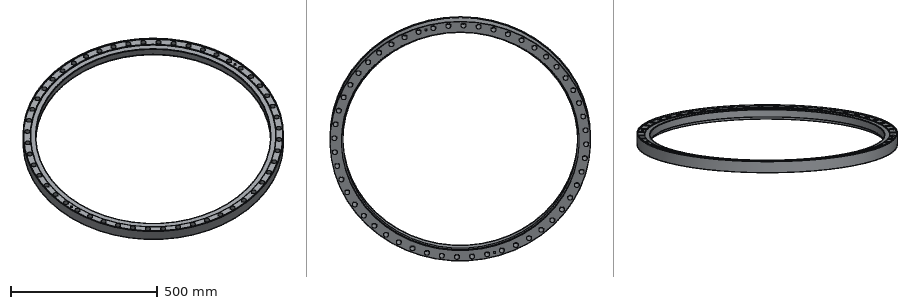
import cadquery as cq
import math

outer_radius = 445.0
inner_radius = 400.5
height = 43.0
outer_chamfer = 1.0

rim_inner_radius = 442.0
bolting_face_height = 38.0

step_radius = 420.0
step_width = 2.0
lip_height = 36.0
lip_chamfer = 2.0

relief_radius = 406.0
relief_height = 9.0

bolt_count = 52
bolt_circle_radius = 430.0
bolt_hole_diameter = 17.0
bolt_pitch = 360 / bolt_count
bolt_angles = [index * bolt_pitch for index in range(bolt_count)]

pin_hole_diameter = 7.0
pin_angles = [90 + bolt_pitch / 2, 270 + bolt_pitch / 2]


def make_ring():
    """Revolve the radius-height section of the ring about Z."""
    section = [
        (relief_radius, 0),
        (outer_radius - outer_chamfer, 0),
        (outer_radius, outer_chamfer),
        (outer_radius, height - outer_chamfer),
        (outer_radius - outer_chamfer, height),
        (rim_inner_radius, height),
        (rim_inner_radius, bolting_face_height),
        (step_radius, bolting_face_height),
        (step_radius - step_width, lip_height),
        (inner_radius + lip_chamfer, lip_height),
        (inner_radius, lip_height - lip_chamfer),
        (inner_radius, relief_height),
        (relief_radius, relief_height),
    ]
    return cq.Workplane("XZ").polyline(section).close().revolve(360, (0, 0, 0), (0, 1, 0))


def point_on_bolt_circle(angle):
    """X, Y of the bolt circle at an angle in degrees from +X."""
    turn = math.radians(angle)
    return (bolt_circle_radius * math.cos(turn), bolt_circle_radius * math.sin(turn))


def hole_cutters(angles, diameter):
    """Full-height cylinders on the bolt circle at the given angles."""
    centres = [point_on_bolt_circle(angle) for angle in angles]
    return cq.Workplane("XY").pushPoints(centres).circle(diameter / 2).extrude(height)


ring = make_ring()
ring = ring.cut(hole_cutters(bolt_angles, bolt_hole_diameter))
result = ring.cut(hole_cutters(pin_angles, pin_hole_diameter))